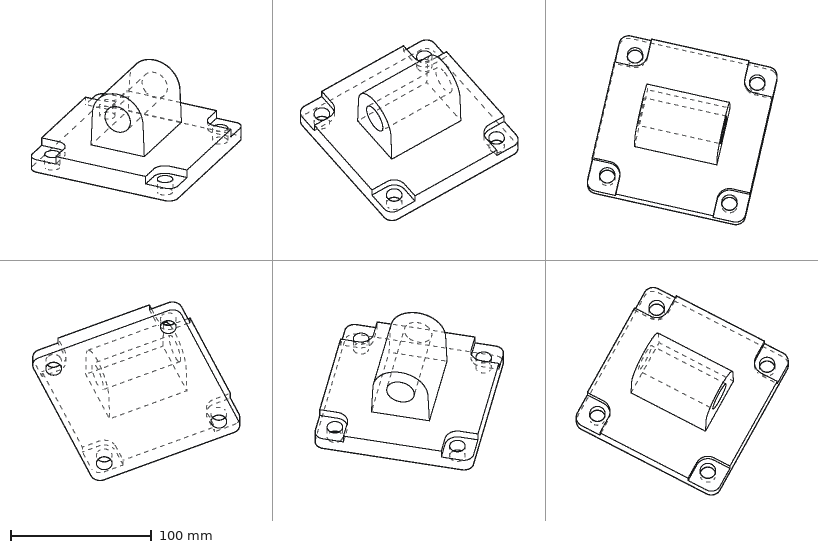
import cadquery as cq
import math

plate_side = 115.0
plate_thickness = 16.0
plate_corner_radius = 7.0

recess_side = 22.0
recess_corner_radius = 9.0
recess_floor = 10.0
hole_spacing = 89.0
hole_diameter = 11.0

total_height = 61.0
lug_length = 60.0
lug_radius = 20.0
lug_foot_width = 42.1
bore_diameter = 20.0
bore_height = total_height - lug_radius


def make_plate():
    plate = cq.Workplane("XY").box(plate_side, plate_side, plate_thickness, centered=(True, True, False))
    return plate.edges("|Z").fillet(plate_corner_radius)


def make_corner_recess(x_sign, y_sign):
    """Square pocket open on two plate sides, with only its inner corner rounded."""
    return (
        cq.Workplane("XY", origin=(x_sign * plate_side / 2, y_sign * plate_side / 2, recess_floor))
        .rect(2 * recess_side, 2 * recess_side)
        .extrude(plate_thickness - recess_floor)
        .edges("|Z")
        .fillet(recess_corner_radius)
    )


def make_lug():
    """Tapered lug whose straight flanks run tangent into the round top."""
    half_foot = lug_foot_width / 2
    foot_drop = bore_height - plate_thickness
    foot_distance = math.hypot(half_foot, foot_drop)
    tangent_angle = math.acos(lug_radius / foot_distance) - math.atan2(foot_drop, half_foot)
    tangent_x = lug_radius * math.cos(tangent_angle)
    tangent_z = bore_height + lug_radius * math.sin(tangent_angle)
    return (
        cq.Workplane("XZ")
        .moveTo(-half_foot, plate_thickness)
        .lineTo(half_foot, plate_thickness)
        .lineTo(tangent_x, tangent_z)
        .threePointArc((0, total_height), (-tangent_x, tangent_z))
        .close()
        .extrude(lug_length / 2, both=True)
    )


def make_bore():
    return (
        cq.Workplane("XZ")
        .center(0, bore_height)
        .circle(bore_diameter / 2)
        .extrude(lug_length / 2, both=True)
    )


def make_mounting_holes():
    return (
        cq.Workplane("XY")
        .rect(hole_spacing, hole_spacing, forConstruction=True)
        .vertices()
        .circle(hole_diameter / 2)
        .extrude(plate_thickness)
    )


result = make_plate()
for x_sign in (-1, 1):
    for y_sign in (-1, 1):
        result = result.cut(make_corner_recess(x_sign, y_sign))
result = result.cut(make_mounting_holes()).union(make_lug()).cut(make_bore())